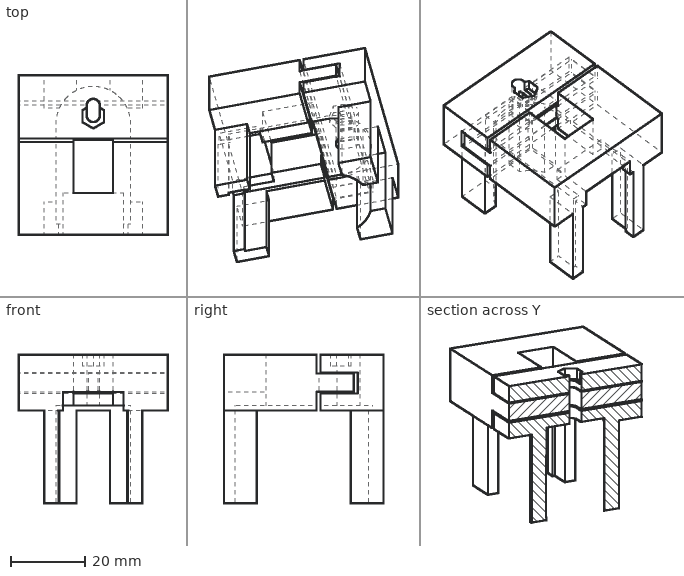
import cadquery as cq

width = 40.15
length = 43.0
block_height = 15.0

joint_gap = 1.0
front_body_length = 25.0
tongue_length = 10.02
tongue_bottom = 5.0
tongue_top = 10.02
groove_bottom = 4.6
groove_top = 10.2
back_body_start = front_body_length + joint_gap
tongue_tip = front_body_length + tongue_length
groove_end = tongue_tip + joint_gap

leg_height = 25.0
leg_depth = 8.9
leg_outer_x = 13.2
leg_inner_x = 4.47
back_leg_start = length - leg_depth

pocket_radius = 10.02
pocket_roof = 1.35
pocket_wall = 3.0
pocket_center_y = length - pocket_wall - pocket_radius
leg_entry_width = 18.75

recess_width = 16.35
recess_roof = 5.0
window_width = 10.6
window_start = 11.35
window_end = 25.55

slot_width = 3.5
slot_length = 6.2
slot_center_y = 33.5
nut_across_corners = 6.6
nut_center_y = 31.95
nut_depth = 3.0


def centered_box(size_x, y_start, y_end, z_start, z_end):
    """Box centred on X between the given Y and Z limits."""
    return (
        cq.Workplane("XY")
        .box(size_x, y_end - y_start, z_end - z_start, centered=(True, False, False))
        .translate((0, y_start, z_start))
    )


def leg(side, y_start):
    """Square-section leg on the chosen side (-1 or 1) under the block."""
    return (
        cq.Workplane("XY")
        .box(leg_outer_x - leg_inner_x, leg_depth, leg_height, centered=(True, False, False))
        .translate((side * (leg_outer_x + leg_inner_x) / 2, y_start, -leg_height))
    )


def underside_pocket():
    """Straight pocket with a round back end, from the leg feet up into the block."""
    straight = centered_box(2 * pocket_radius, pocket_wall, pocket_center_y, -leg_height, pocket_roof)
    round_end = (
        cq.Workplane("XY", origin=(0, pocket_center_y, -leg_height))
        .circle(pocket_radius)
        .extrude(leg_height + pocket_roof)
    )
    return straight.union(round_end)


def screw_slot():
    """Slot along Y through the full block height."""
    return (
        cq.Workplane("XY", origin=(0, slot_center_y, 0))
        .slot2D(slot_length, slot_width, 90)
        .extrude(block_height)
    )


def nut_pocket():
    """Hexagonal pocket in the top face, with corners pointing along Y."""
    return (
        cq.Workplane("XY")
        .polygon(6, nut_across_corners)
        .extrude(nut_depth)
        .rotate((0, 0, 0), (0, 0, 1), 90)
        .translate((0, nut_center_y, block_height - nut_depth))
    )


def make_front_body():
    body = centered_box(width, 0, front_body_length, 0, block_height)
    body = body.union(centered_box(width, front_body_length, tongue_tip, tongue_bottom, tongue_top))
    for side in (-1, 1):
        body = body.union(leg(side, 0))
    body = body.cut(underside_pocket())
    body = body.cut(centered_box(leg_entry_width, 0, pocket_wall, -leg_height, 0))
    body = body.cut(centered_box(recess_width, 0, window_start, 0, recess_roof))
    body = body.cut(centered_box(window_width, window_start, window_end, 0, block_height))
    return body.cut(screw_slot())


def make_back_body():
    body = centered_box(width, back_body_start, length, 0, block_height)
    for side in (-1, 1):
        body = body.union(leg(side, back_leg_start))
    body = body.cut(centered_box(width, back_body_start, groove_end, groove_bottom, groove_top))
    body = body.cut(underside_pocket())
    return body.cut(screw_slot()).cut(nut_pocket())


front_body = make_front_body()
back_body = make_back_body()

result = cq.Compound.makeCompound([front_body.val(), back_body.val()])